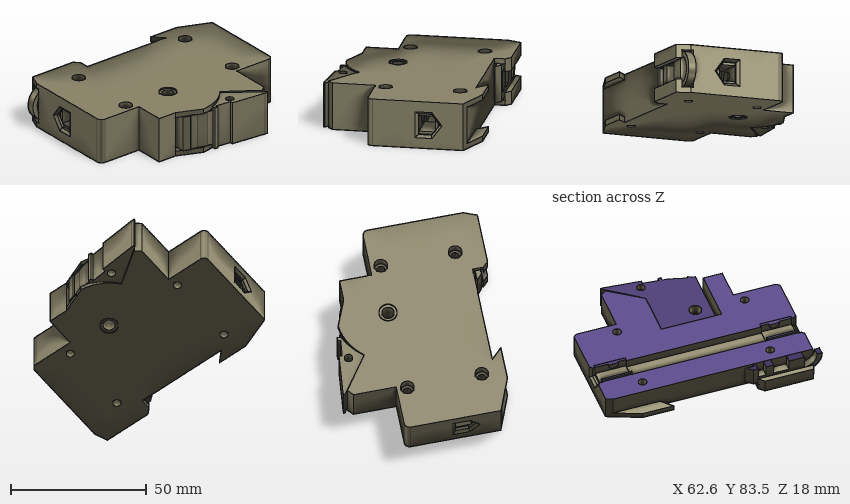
import cadquery as cq
import math


housing_width = 18.0
housing_length = 81.0
inner_width = 14.0
rail_x = 6.0
lip_thickness = 2.0
foot_top_y = 23.05
overcut = 0.8

body_x = 43.0
shoulder_radius = 2.0
neck_x = 55.1
neck_bottom_y = 18.0
neck_top_y = 64.05
slope_bottom_y = 25.6
nose_start_x = 59.1
nose_x, nose_y = 60.95, 61.95
top_slant_x = 7.0
top_slant_y = 68.2
hook_tip_y = 56.0
hook_root_y = 60.0
foot_bevel = 2.0
foot_slant_x = 5.0
foot_slant_y = 2.0
slot_mouth_width = 8.0
upper_slot_top_y = 78.5

rivet_hole = 3.0
rivet_counterbore = 5.0
rivet_counterbore_depth = 4.0
rivet_x = (11.0, 39.0)
rivet_y = (15.0, 65.05)

pivot_x, pivot_y = 40.1, 34.0
trunnion_diameter = 6.7
pivot_bore = 4.5
arm_width = 17.0
seat_radius = 19.2
seat_top_angle = 51.5
seat_bottom_angle = 5.0
core_back_x = 35.0
core_bottom_y = 28.0
seal_hole = 3.0
seal_x, seal_y = 57.95, 48.9
arm_foot_x, arm_foot_y = 59.1, 40.1
tab_x, tab_top_y = 60.45, 41.4
label_bottom_x = 59.4
label_top_x, label_top_y = 60.0, 47.6
pull_bottom_x = 61.2
pull_x, pull_corner_y = 62.6, 61.95
arm_tip_x, arm_tip_y = 62.1, 63.1
rib_bottom_x = 56.6
rib_top_x, rib_top_y = 57.7, 30.8
rib_root_x, rib_root_y = 57.2, 31.15
core_bend_x, core_bend_y = 57.8, 33.8
core_flat_x, core_flat_y = 58.95, 37.75
arm_edge_bulge = 0.68

latch_x = 3.0
hook_back_x = 5.1
hook_base_y = 23.55
latch_hook_bevel_y = 24.5
latch_hook_tip_y = 27.05
finger_radius = inner_width / 2
finger_hole_radius = 5.0
finger_y = 4.5
latch_windows = ((10.5, 16.5), (19.5, 22.55))

cage_wall = 1.0
cage_x = 16.7
cage_height = 8.3
cage_width = 8.0
cage_depth = 12.0
cage_start_y = 2.0
screw_tip_diameter = 4.0
screw_tip_x = 23.4
screw_y = 9.0
passage_x = 16.2
funnel_depth = 1.0
entry_outer = (14.95, 18.7, 25.0, 5.0)
entry_inner = (15.95, 18.95, 24.0, 4.0)


def seat_point(angle):
    """Point on the round seat at an angle in degrees about the pivot."""
    turn = math.radians(angle)
    return (pivot_x + seat_radius * math.cos(turn), pivot_y + seat_radius * math.sin(turn))


seat_top = seat_point(seat_top_angle)
seat_middle = seat_point((seat_top_angle + seat_bottom_angle) / 2)
seat_bottom = seat_point(seat_bottom_angle)


def block(x0, x1, y0, y1, width):
    """Box between two X and two Y values, centred on the middle of the module."""
    return cq.Workplane("XY").box(x1 - x0, y1 - y0, width).translate(((x0 + x1) / 2, (y0 + y1) / 2, 0))


def cylinder(x, y, diameter, width):
    """Cylinder along Z, centred on the middle of the module."""
    return cq.Workplane("XY").center(x, y).circle(diameter / 2).extrude(width / 2, both=True)


def mirror_ends(shape):
    """Copy of a shape at the other end of the housing."""
    return shape.mirror("XZ", (0, housing_length / 2, 0))


def housing_outline():
    blank = (
        cq.Workplane("XY")
        .moveTo(foot_slant_x, 0)
        .lineTo(body_x, 0)
        .lineTo(body_x, neck_bottom_y)
        .lineTo(neck_x, neck_bottom_y)
        .lineTo(neck_x, slope_bottom_y)
        .lineTo(*seat_bottom)
        .threePointArc(seat_middle, seat_top)
        .lineTo(nose_x, nose_y)
        .lineTo(nose_start_x, neck_top_y)
        .lineTo(body_x, neck_top_y)
        .lineTo(body_x, housing_length)
        .lineTo(top_slant_x, housing_length)
        .lineTo(lip_thickness, top_slant_y)
        .lineTo(lip_thickness, hook_tip_y)
        .lineTo(rail_x, hook_root_y)
        .lineTo(rail_x, foot_top_y)
        .lineTo(foot_bevel, foot_top_y)
        .lineTo(0, foot_top_y - foot_bevel)
        .lineTo(0, foot_slant_y)
        .close()
        .extrude(housing_width / 2, both=True)
    )
    shoulder_corners = cq.selectors.BoxSelector(
        (body_x - overcut, -overcut, -overcut), (body_x + overcut, overcut, overcut)
    ) + cq.selectors.BoxSelector(
        (body_x - overcut, housing_length - overcut, -overcut),
        (body_x + overcut, housing_length + overcut, overcut),
    )
    return blank.edges("|Z").edges(shoulder_corners).fillet(shoulder_radius)


def rail_slots():
    latch_slot = block(lip_thickness, rail_x, -overcut, foot_top_y, inner_width)
    slot_mouth = block(-overcut, lip_thickness, -overcut, foot_top_y, slot_mouth_width)
    upper_slot = block(0, rail_x, hook_tip_y - overcut, upper_slot_top_y, inner_width)
    return latch_slot.union(slot_mouth).union(upper_slot)


def rivet_holes():
    spots = [(x, y) for x in rivet_x for y in rivet_y]
    holes = cq.Workplane("XY").pushPoints(spots).circle(rivet_hole / 2).extrude(housing_width / 2, both=True)
    bores = (
        cq.Workplane("XY", origin=(0, 0, housing_width / 2))
        .pushPoints(spots)
        .circle(rivet_counterbore / 2)
        .extrude(-rivet_counterbore_depth)
    )
    return holes.union(bores)


def lever_space():
    slot = block(core_back_x, nose_x, slope_bottom_y, seat_top[1], inner_width)
    return slot.union(cylinder(pivot_x, pivot_y, trunnion_diameter, housing_width))


def entry_points(entry):
    """Corners of a house-shaped wire entry as X and Z values."""
    point_x, corner_x, flat_x, half = entry
    return [(point_x, 0), (corner_x, half), (flat_x, half), (flat_x, -half), (corner_x, -half)]


def wire_entry():
    """Funnel and straight opening from the end face to the terminal."""
    funnel = (
        cq.Workplane("XZ")
        .polyline(entry_points(entry_outer))
        .close()
        .workplane(offset=-funnel_depth)
        .polyline(entry_points(entry_inner))
        .close()
        .loft(ruled=True)
    )
    opening = cq.Workplane("XZ").polyline(entry_points(entry_inner)).close().extrude(-cage_start_y)
    return funnel.union(opening)


def cage_block():
    return block(cage_x, cage_x + cage_height, cage_start_y, cage_start_y + cage_depth, cage_width)


def wire_passage():
    end_space = wire_entry().union(cage_block())
    middle = block(
        passage_x, screw_tip_x, cage_start_y, housing_length - cage_start_y, cage_width - 2 * cage_wall
    )
    return middle.union(end_space).union(mirror_ends(end_space))


def make_housing():
    return housing_outline().cut(rail_slots()).cut(rivet_holes()).cut(lever_space()).cut(wire_passage())


def arm_edge_middle():
    """Middle of the curved edge that runs from the top of the seat to the foot of the arm."""
    chord_x = arm_foot_x - seat_top[0]
    chord_y = arm_foot_y - seat_top[1]
    chord = math.hypot(chord_x, chord_y)
    return (
        (arm_foot_x + seat_top[0]) / 2 - arm_edge_bulge * chord_y / chord,
        (arm_foot_y + seat_top[1]) / 2 + arm_edge_bulge * chord_x / chord,
    )


def lever_arm():
    return (
        cq.Workplane("XY")
        .moveTo(*seat_top)
        .threePointArc(arm_edge_middle(), (arm_foot_x, arm_foot_y))
        .lineTo(tab_x, arm_foot_y)
        .lineTo(tab_x, tab_top_y)
        .lineTo(label_bottom_x, tab_top_y)
        .lineTo(label_top_x, label_top_y)
        .lineTo(pull_bottom_x, label_top_y)
        .lineTo(pull_x, pull_corner_y)
        .lineTo(pull_x, arm_tip_y)
        .lineTo(arm_tip_x, arm_tip_y)
        .close()
        .extrude(arm_width / 2, both=True)
    )


def lever_core():
    """Part of the lever inside the housing, from the pivot out to the arm."""
    return (
        cq.Workplane("XY")
        .moveTo(core_back_x, core_bottom_y)
        .lineTo(rib_bottom_x, core_bottom_y)
        .lineTo(rib_top_x, rib_top_y)
        .lineTo(rib_root_x, rib_root_y)
        .lineTo(core_bend_x, core_bend_y)
        .lineTo(core_flat_x, core_flat_y)
        .lineTo(arm_foot_x, arm_foot_y)
        .threePointArc(arm_edge_middle(), seat_top)
        .lineTo(core_back_x, seat_top[1])
        .close()
        .extrude(inner_width / 2, both=True)
    )


def make_lever():
    trunnions = cylinder(pivot_x, pivot_y, trunnion_diameter, arm_width)
    lever_blank = lever_core().union(lever_arm()).union(trunnions)
    bored = lever_blank.cut(cylinder(pivot_x, pivot_y, pivot_bore, housing_width))
    return bored.cut(cylinder(seal_x, seal_y, seal_hole, housing_width))


def make_latch():
    bar = (
        cq.Workplane("XY")
        .moveTo(latch_x, finger_y)
        .lineTo(rail_x, finger_y)
        .lineTo(rail_x, hook_base_y)
        .lineTo(hook_back_x, hook_base_y)
        .lineTo(hook_back_x, latch_hook_tip_y)
        .lineTo(latch_x, latch_hook_bevel_y)
        .close()
        .extrude(inner_width / 2, both=True)
    )
    grip = (
        cq.Workplane("YZ", origin=(latch_x, finger_y, 0))
        .moveTo(0, finger_radius)
        .threePointArc((-finger_radius, 0), (0, -finger_radius))
        .lineTo(0, -finger_hole_radius)
        .threePointArc((-finger_hole_radius, 0), (0, finger_hole_radius))
        .close()
        .extrude(rail_x - latch_x)
    )
    latch = bar.union(grip)
    for start_y, end_y in latch_windows:
        latch = latch.cut(block(latch_x, rail_x, start_y, end_y, slot_mouth_width))
    return latch


def make_terminal():
    """Open wire cage with the tip of its clamp screw."""
    inner_x = cage_x + cage_height - cage_wall
    opening = block(
        cage_x + cage_wall, inner_x, cage_start_y, cage_start_y + cage_depth, cage_width - 2 * cage_wall
    )
    screw_tip = (
        cq.Workplane("YZ", origin=(screw_tip_x, screw_y, 0))
        .circle(screw_tip_diameter / 2)
        .extrude(inner_x - screw_tip_x)
    )
    return cage_block().cut(opening).union(screw_tip)


housing = make_housing()
lever = make_lever()
latch = make_latch()
lower_terminal = make_terminal()
terminals = [lower_terminal, mirror_ends(lower_terminal)]

result = cq.Compound.makeCompound(
    [housing.val(), lever.val(), latch.val(), *[terminal.val() for terminal in terminals]]
)